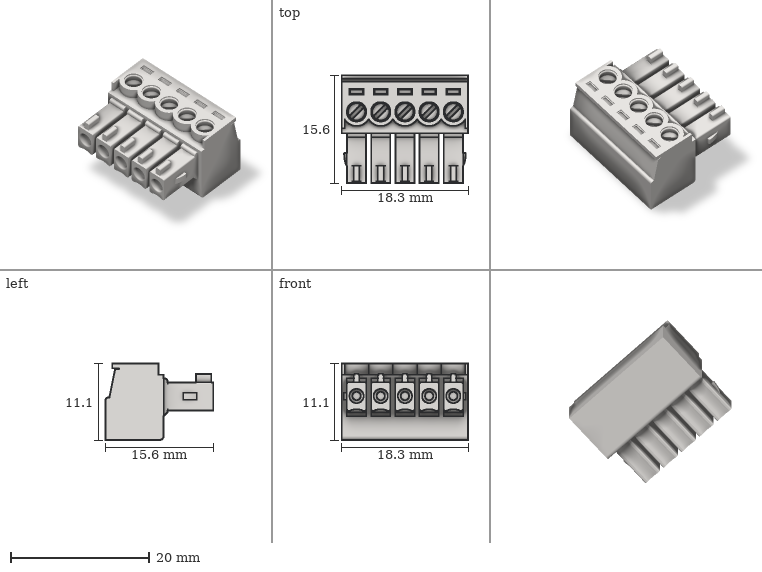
import cadquery as cq
import math


SIN_45 = math.sqrt(0.5)
ARC_INSET = 1 - SIN_45

POLE_COUNT = 5
POLE_PITCH = 3.5
POLE_XS = [(i - (POLE_COUNT - 1) / 2) * POLE_PITCH for i in range(POLE_COUNT)]

HOUSING_WIDTH = 18.3
HOUSING_DEPTH = 8.42
HOUSING_HEIGHT = 11.1
STEP_HEIGHT = 9.48
END_WALL_FRONT = 0.72
END_WALL_THICKNESS = 0.42
LIP_BACK = 7.44
LIP_THICKNESS = 0.72
SLOPE_TOP_Y = 7.03
SLOPE_BOTTOM_Y = 7.87
LEDGE_HEIGHT = 6.17
LEDGE_FILLET = 0.42
BASE_FILLET = 0.58
SLIT_DEPTH = 0.55
SLIT_HEIGHT = 0.08

SCREW_Y = 3.12
COLLAR_RADIUS = 2.05
WELL_RADIUS = 1.41
WELL_DEPTH = 1.77
HEAD_FILLET = 0.3
RING_TOP_DEPTH = 0.26
RING_RADIUS = 1.24
SLOT_WIDTH = 0.62
SLOT_DEPTH = 0.65
SLOT_ANGLE = 45

WINDOW_Y = 6.02
WINDOW_LENGTH = 2.06
WINDOW_WIDTH = 0.86
WINDOW_DEPTH = 0.2
WINDOW_LEDGE = 0.15
WINDOW_FLOOR_DEPTH = 0.26
WINDOW_FLOOR_SLOPE = 18

PLUG_WIDTH = 2.8
PLUG_LENGTH = 7.2
PLUG_BOTTOM = 4.25
PLUG_TOP = 8.35
PLUG_FILLET = 0.2
SCALLOP_HALF_WIDTH = 0.95
SCALLOP_RISE = 0.21

ROOT_LENGTH = 0.57
ROOT_BOTTOM = 3.43
ROOT_TOP = 8.91
ROOT_FILLET = 0.4

HOLE_Z = 6.37
MOUTH_RADIUS = 1.21
BORE_RADIUS = 1.03
BORE_DEPTH = 1.0
FLOOR_RADIUS = 0.6
HOLE_DEPTH = 1.4

RIB_WIDTH = 0.8
RIB_BACK = 4.67
RIB_LENGTH = 2.24
RIB_TOP = 9.57
RIB_FILLET = 0.22

LATCH_START = 2.81
LATCH_LENGTH = 1.96
LATCH_REACH = 0.42
LATCH_HEIGHT = 1.0
LATCH_Z = 6.36
LATCH_ROUND = 0.17
LATCH_EMBED = 0.2


def make_housing():
    lip_bottom = HOUSING_HEIGHT - LIP_THICKNESS
    slit_bottom = lip_bottom - SLIT_HEIGHT
    slit_front = SLOPE_TOP_Y - SLIT_DEPTH
    fillet_centre_y = HOUSING_DEPTH - LEDGE_FILLET
    fillet_centre_z = LEDGE_HEIGHT - LEDGE_FILLET
    fillet_mid = LEDGE_FILLET * SIN_45
    base_mid = BASE_FILLET * ARC_INSET
    profile = (
        cq.Workplane("YZ", origin=(-HOUSING_WIDTH / 2, 0, 0))
        .moveTo(HOUSING_DEPTH, 0)
        .lineTo(HOUSING_DEPTH, fillet_centre_z)
        .threePointArc(
            (fillet_centre_y + fillet_mid, fillet_centre_z + fillet_mid),
            (fillet_centre_y, LEDGE_HEIGHT),
        )
        .lineTo(SLOPE_BOTTOM_Y, LEDGE_HEIGHT)
        .lineTo(SLOPE_TOP_Y, slit_bottom)
        .lineTo(slit_front, slit_bottom)
        .lineTo(slit_front, lip_bottom)
        .lineTo(LIP_BACK, lip_bottom)
        .lineTo(LIP_BACK, HOUSING_HEIGHT)
        .lineTo(END_WALL_FRONT, HOUSING_HEIGHT)
        .lineTo(END_WALL_FRONT, STEP_HEIGHT)
        .lineTo(0, STEP_HEIGHT)
        .lineTo(0, BASE_FILLET)
        .threePointArc((base_mid, base_mid), (BASE_FILLET, 0))
        .close()
    )
    return profile.extrude(HOUSING_WIDTH)


def make_step_cutter():
    """Space between the end walls in front of the rounded screw collars."""
    step_width = HOUSING_WIDTH - 2 * END_WALL_THICKNESS
    cut_height = HOUSING_HEIGHT - STEP_HEIGHT
    block = cq.Workplane("XY", origin=(0, SCREW_Y / 2, STEP_HEIGHT)).box(
        step_width, SCREW_Y, cut_height, centered=(True, True, False)
    )
    for x in POLE_XS:
        collar = cq.Workplane("XY", origin=(x, SCREW_Y, STEP_HEIGHT)).circle(COLLAR_RADIUS)
        block = block.cut(collar.extrude(cut_height))
    return block


def make_screw_head(x):
    """Screw head standing on the well floor, with a rounded rim and a driver slot."""
    floor_z = HOUSING_HEIGHT - WELL_DEPTH
    head = cq.Workplane("XY", origin=(x, SCREW_Y, floor_z)).circle(WELL_RADIUS).extrude(SLOT_DEPTH)
    head = head.faces(">Z").edges().fillet(HEAD_FILLET)
    slot_length = 3 * WELL_RADIUS
    slot = (
        cq.Workplane("XY", origin=(x, SCREW_Y, floor_z))
        .transformed(rotate=(0, 0, SLOT_ANGLE))
        .rect(slot_length, SLOT_WIDTH)
        .extrude(SLOT_DEPTH)
    )
    return head.cut(slot)


def make_retaining_ring(x):
    """Ring on the well wall, rounded on its upper side."""
    ring_top = HOUSING_HEIGHT - RING_TOP_DEPTH
    ring_round = WELL_RADIUS - RING_RADIUS
    ring_bottom = ring_top - ring_round
    round_mid = ring_round * ARC_INSET
    return (
        cq.Workplane("YZ", origin=(x, SCREW_Y, 0))
        .moveTo(WELL_RADIUS, ring_top)
        .threePointArc((RING_RADIUS + round_mid, ring_top - round_mid), (RING_RADIUS, ring_bottom))
        .lineTo(WELL_RADIUS, ring_bottom)
        .close()
        .revolve(360, (0, 0, 0), (0, 1, 0))
    )


def make_screw_well(x):
    """Void of the round well, leaving the retaining ring and the screw head standing."""
    well_origin = (x, SCREW_Y, HOUSING_HEIGHT - WELL_DEPTH)
    well = cq.Workplane("XY", origin=well_origin).circle(WELL_RADIUS).extrude(WELL_DEPTH)
    return well.cut(make_retaining_ring(x)).cut(make_screw_head(x))


def make_window(x):
    """Stepped rectangular recess whose floor slopes down towards the front."""
    opening = cq.Workplane("XY", origin=(x, WINDOW_Y, HOUSING_HEIGHT - WINDOW_DEPTH)).box(
        WINDOW_LENGTH, WINDOW_WIDTH, WINDOW_DEPTH, centered=(True, True, False)
    )
    inner_length = WINDOW_LENGTH - 2 * WINDOW_LEDGE
    inner_width = WINDOW_WIDTH - 2 * WINDOW_LEDGE
    inner_front = WINDOW_Y - inner_width / 2
    inner_back = WINDOW_Y + inner_width / 2
    floor_back = HOUSING_HEIGHT - WINDOW_FLOOR_DEPTH
    floor_front = floor_back - inner_width * math.tan(math.radians(WINDOW_FLOOR_SLOPE))
    inner = (
        cq.Workplane("YZ", origin=(x - inner_length / 2, 0, 0))
        .moveTo(inner_front, HOUSING_HEIGHT)
        .lineTo(inner_front, floor_front)
        .lineTo(inner_back, floor_back)
        .lineTo(inner_back, HOUSING_HEIGHT)
        .close()
        .extrude(inner_length)
    )
    return opening.union(inner)


def make_plug_body(x):
    """Bar with rounded long edges and a shallow scallop along its underside."""
    half_width = PLUG_WIDTH / 2
    bar = (
        cq.Workplane("XZ", origin=(x, 0, 0))
        .moveTo(-half_width, PLUG_TOP)
        .lineTo(half_width, PLUG_TOP)
        .lineTo(half_width, PLUG_BOTTOM)
        .lineTo(-half_width, PLUG_BOTTOM)
        .close()
        .extrude(PLUG_LENGTH)
        .edges("|Y")
        .fillet(PLUG_FILLET)
    )
    scallop = (
        cq.Workplane("XZ", origin=(x, 0, 0))
        .moveTo(-SCALLOP_HALF_WIDTH, PLUG_BOTTOM)
        .threePointArc((0, PLUG_BOTTOM + SCALLOP_RISE), (SCALLOP_HALF_WIDTH, PLUG_BOTTOM))
        .close()
        .extrude(PLUG_LENGTH)
    )
    return bar.cut(scallop)


def make_plug_root(x):
    """Thicker collar where the plug leaves the housing."""
    fillet_mid = ROOT_FILLET * ARC_INSET
    return (
        cq.Workplane("YZ", origin=(x - PLUG_WIDTH / 2, 0, 0))
        .moveTo(0, ROOT_BOTTOM)
        .lineTo(-ROOT_LENGTH, ROOT_BOTTOM + ROOT_LENGTH)
        .lineTo(-ROOT_LENGTH, ROOT_TOP - ROOT_FILLET)
        .threePointArc(
            (-ROOT_LENGTH + fillet_mid, ROOT_TOP - fillet_mid),
            (-ROOT_LENGTH + ROOT_FILLET, ROOT_TOP),
        )
        .lineTo(0, ROOT_TOP)
        .close()
        .extrude(PLUG_WIDTH)
    )


def make_rib(x):
    """Coding rib with a rounded top and concave rounded feet."""
    half = RIB_WIDTH / 2
    foot = half + RIB_FILLET
    shoulder = half - RIB_FILLET
    foot_mid = half + RIB_FILLET * ARC_INSET
    foot_mid_z = PLUG_TOP + RIB_FILLET * ARC_INSET
    top_mid = shoulder + RIB_FILLET * SIN_45
    top_mid_z = RIB_TOP - RIB_FILLET * ARC_INSET
    return (
        cq.Workplane("XZ", origin=(x, -RIB_BACK, 0))
        .moveTo(-foot, PLUG_TOP)
        .threePointArc((-foot_mid, foot_mid_z), (-half, PLUG_TOP + RIB_FILLET))
        .lineTo(-half, RIB_TOP - RIB_FILLET)
        .threePointArc((-top_mid, top_mid_z), (-shoulder, RIB_TOP))
        .lineTo(shoulder, RIB_TOP)
        .threePointArc((top_mid, top_mid_z), (half, RIB_TOP - RIB_FILLET))
        .lineTo(half, PLUG_TOP + RIB_FILLET)
        .threePointArc((foot_mid, foot_mid_z), (foot, PLUG_TOP))
        .close()
        .extrude(RIB_LENGTH)
    )


def make_contact_hole(x):
    """Blind contact hole: a rounded mouth, a straight bore, then a cone to a flat floor."""
    face_y = -PLUG_LENGTH
    mouth_round = MOUTH_RADIUS - BORE_RADIUS
    mouth_mid = mouth_round * ARC_INSET
    return (
        cq.Workplane("YZ", origin=(x, 0, HOLE_Z))
        .moveTo(face_y, 0)
        .lineTo(face_y, MOUTH_RADIUS)
        .threePointArc(
            (face_y + mouth_mid, BORE_RADIUS + mouth_mid),
            (face_y + mouth_round, BORE_RADIUS),
        )
        .lineTo(face_y + BORE_DEPTH, BORE_RADIUS)
        .lineTo(face_y + HOLE_DEPTH, FLOOR_RADIUS)
        .lineTo(face_y + HOLE_DEPTH, 0)
        .close()
        .revolve(360, (0, 0, 0), (1, 0, 0))
    )


def make_left_latch():
    """Snap latch with a rounded catch and a curved run-in towards the plug tip."""
    side_x = POLE_XS[0] - PLUG_WIDTH / 2
    tip_x = side_x - LATCH_REACH
    tail_y = -LATCH_START - LATCH_LENGTH
    round_mid = LATCH_ROUND * ARC_INSET
    round_end_y = -LATCH_START - LATCH_ROUND
    return (
        cq.Workplane("XY", origin=(0, 0, LATCH_Z - LATCH_HEIGHT / 2))
        .moveTo(side_x + LATCH_EMBED, -LATCH_START)
        .lineTo(tip_x + LATCH_ROUND, -LATCH_START)
        .threePointArc((tip_x + round_mid, -LATCH_START - round_mid), (tip_x, round_end_y))
        .tangentArcPoint((side_x, tail_y), relative=False)
        .lineTo(side_x + LATCH_EMBED, tail_y)
        .close()
        .extrude(LATCH_HEIGHT)
    )


result = make_housing().cut(make_step_cutter())
for pole_x in POLE_XS:
    result = result.cut(make_screw_well(pole_x))
    result = result.cut(make_window(pole_x))
    plug = make_plug_body(pole_x).union(make_plug_root(pole_x)).union(make_rib(pole_x))
    result = result.union(plug.cut(make_contact_hole(pole_x)))

left_latch = make_left_latch()
result = result.union(left_latch).union(left_latch.mirror("YZ"))